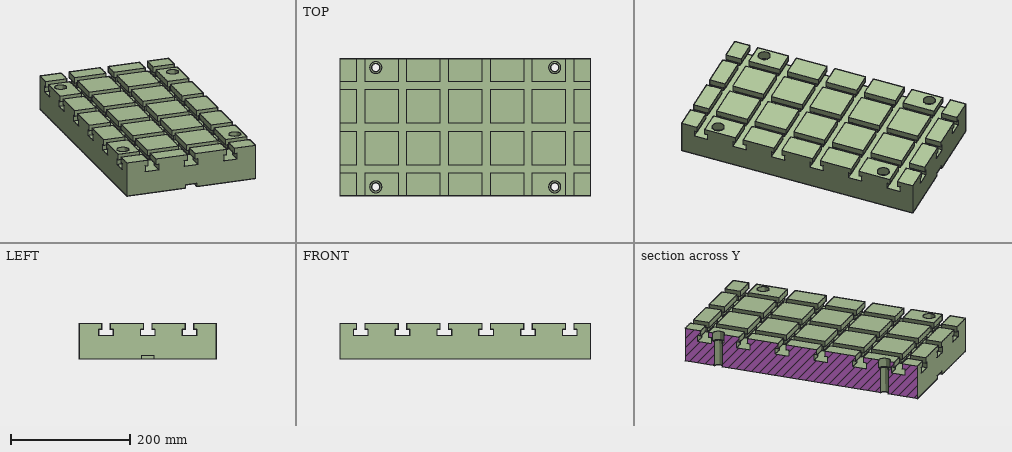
import cadquery as cq

length = 420.0
width = 230.0
height = 60.0

slots_across_length = 6
slots_across_width = 3
slot_pitch = length / slots_across_length
neck_width = 14.0
neck_depth = 10.0
slot_depth = 2 * neck_depth
undercut_width = 24.0

hole_spacing_x = 300.0
hole_spacing_y = 200.0
hole_diameter = 13.5
counterbore_diameter = 20.0
counterbore_depth = 15.0

key_seat_width = 20.0
key_seat_depth = 6.0
key_seat_length = 40.0


def t_slot(run):
    """One T-slot cutter lying along Y, centred, with its mouth at the top of the plate."""
    neck = cq.Workplane("XY").box(neck_width, run, slot_depth, centered=(True, True, False))
    undercut = cq.Workplane("XY").box(
        undercut_width, run, slot_depth - neck_depth, centered=(True, True, False)
    )
    return neck.union(undercut).translate((0, 0, height - slot_depth))


def slot_offsets(count):
    """Centred positions of a row of slots."""
    return [(index - (count - 1) / 2) * slot_pitch for index in range(count)]


def cut_t_slots(plate):
    cutter_along_y = t_slot(width)
    cutter_along_x = t_slot(length).rotate((0, 0, 0), (0, 0, 1), 90)
    for x in slot_offsets(slots_across_length):
        plate = plate.cut(cutter_along_y.translate((x, 0, 0)))
    for y in slot_offsets(slots_across_width):
        plate = plate.cut(cutter_along_x.translate((0, y, 0)))
    return plate


def cut_mounting_holes(plate):
    return (
        plate.copyWorkplane(cq.Workplane("XY", origin=(0, 0, height)))
        .rarray(hole_spacing_x, hole_spacing_y, 2, 2)
        .cboreHole(hole_diameter, counterbore_diameter, counterbore_depth)
    )


def cut_key_seats(plate):
    seat = cq.Workplane("XY").box(
        key_seat_length, key_seat_width, key_seat_depth, centered=(True, True, False)
    )
    seat_centre = (length - key_seat_length) / 2
    for side in (-1, 1):
        plate = plate.cut(seat.translate((side * seat_centre, 0, 0)))
    return plate


plate = cq.Workplane("XY").box(length, width, height, centered=(True, True, False))
plate = cut_t_slots(plate)
plate = cut_mounting_holes(plate)
result = cut_key_seats(plate)